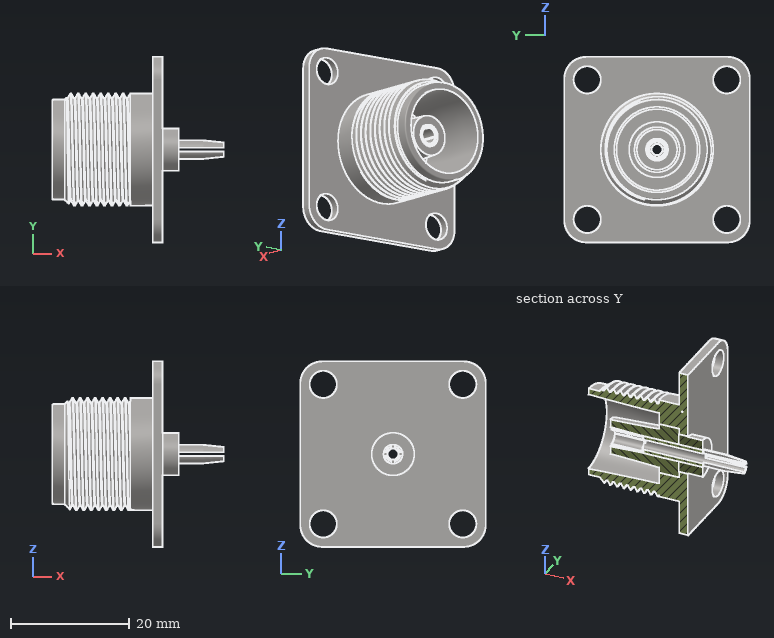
import cadquery as cq
import math


lead_radius = 8.5
lead_length = 2.1
mouth_fillet = 0.25
thread_radius = 19.05 / 2
thread_pitch = 1.27
thread_depth = 0.78
crest_width = 0.16
flank_half_angle = 30
crest_at_top = 3.46
collar_start = 13.25
flange_front = 17.02
flange_thickness = 1.7
flange_size = 31.5
flange_corner_radius = 3.8
mounting_hole_spacing = 23.65
mounting_hole_diameter = 4.57
bore_mouth_radius = 7.25
bore_floor_radius = 6.87
bore_floor = collar_start

nose_front = 4.15
nose_tip_radius = 3.41
nose_root_radius = 3.83
insulator_base_radius = 4.72
socket_mouth_radius = 1.88
rear_insulator_radius = 3.62
rear_insulator_end = 21.46

contact_front = 4.3
contact_radius = 1.62
contact_bore_radius = 0.92
socket_radius = 1.36
socket_floor = 10.0
socket_slot_width = 0.15
relief_hole_diameter = 0.6
taper_start = 25.6
tip_radius = 1.27
contact_end = 29.08
rear_slot_width = 0.6

thread_root_radius = thread_radius - thread_depth
flange_back = flange_front + flange_thickness


def revolve_about_x(points):
    """Solid of revolution about X from (x, radius) points."""
    return cq.Workplane("XY").polyline(points).close().revolve(360, (0, 0, 0), (1, 0, 0))


def make_thread():
    """Right-handed helical ridge, bevelled at the lead and cut square at the collar."""
    root_overlap = 0.1
    base_radius = thread_root_radius - root_overlap
    ridge_height = thread_radius - base_radius
    base_half = crest_width / 2 + ridge_height * math.tan(math.radians(flank_half_angle))

    start = crest_at_top - 2 * thread_pitch
    turns = math.ceil((collar_start - start) / thread_pitch) + 1
    path = cq.Wire.makeHelix(thread_pitch, turns * thread_pitch, base_radius)
    ridge = (
        cq.Workplane("XZ")
        .polyline([
            (base_radius, -base_half),
            (thread_radius, -crest_width / 2),
            (thread_radius, crest_width / 2),
            (base_radius, base_half),
        ])
        .close()
        .sweep(cq.Workplane(path), isFrenet=True)
        .rotate((0, 0, 0), (0, 1, 0), 90)
        .rotate((0, 0, 0), (1, 0, 0), 180)
        .translate((start, 0, 0))
    )
    clearance = 0.5
    bevel = thread_radius + clearance - lead_radius
    envelope = revolve_about_x([
        (lead_length, 0),
        (lead_length, lead_radius),
        (lead_length + bevel, lead_radius + bevel),
        (collar_start, thread_radius + clearance),
        (collar_start, 0),
    ])
    return ridge.intersect(envelope)


def make_housing():
    root_bevel = thread_root_radius - lead_radius
    barrel = revolve_about_x([
        (0, 0),
        (0, lead_radius),
        (lead_length, lead_radius),
        (lead_length + root_bevel, thread_root_radius),
        (collar_start, thread_root_radius),
        (collar_start, thread_radius),
        (flange_front, thread_radius),
        (flange_front, 0),
    ]).faces("<X").edges().fillet(mouth_fillet)
    flange = (
        cq.Workplane("YZ", origin=(flange_front, 0, 0))
        .rect(flange_size, flange_size)
        .extrude(flange_thickness)
        .edges("|X")
        .fillet(flange_corner_radius)
        .faces("<X")
        .workplane(origin=(flange_front, 0, 0))
        .rect(mounting_hole_spacing, mounting_hole_spacing, forConstruction=True)
        .vertices()
        .hole(mounting_hole_diameter)
    )
    cavity = revolve_about_x([
        (0, 0),
        (0, bore_mouth_radius),
        (bore_floor, bore_floor_radius),
        (bore_floor, insulator_base_radius),
        (flange_front, insulator_base_radius),
        (flange_front, rear_insulator_radius),
        (flange_back, rear_insulator_radius),
        (flange_back, 0),
    ])
    return barrel.union(make_thread()).union(flange).cut(cavity)


def make_front_insulator():
    """Tapered nose on a round base, with a tapered clearance around the socket."""
    clearance_end = socket_floor + relief_hole_diameter / 2
    return revolve_about_x([
        (nose_front, socket_mouth_radius),
        (nose_front, nose_tip_radius),
        (bore_floor, nose_root_radius),
        (bore_floor, insulator_base_radius),
        (flange_front, insulator_base_radius),
        (flange_front, contact_radius),
        (clearance_end, contact_radius),
    ])


def make_rear_insulator():
    return revolve_about_x([
        (flange_front, contact_radius),
        (flange_front, rear_insulator_radius),
        (rear_insulator_end, rear_insulator_radius),
        (rear_insulator_end, contact_radius),
    ])


def make_contact():
    """Tube with keyhole cross slots in the front socket and plain ones in the tapered rear end."""
    contact = revolve_about_x([
        (contact_front, socket_radius),
        (contact_front, contact_radius),
        (taper_start, contact_radius),
        (contact_end, tip_radius),
        (contact_end, contact_bore_radius),
        (socket_floor, contact_bore_radius),
        (socket_floor, socket_radius),
    ])
    cut_depth = 2 * contact_radius

    def slot(start, end, width):
        box = cq.Workplane("XY").box(end - start, width, 2 * cut_depth, centered=(False, True, True))
        return box.translate((start, 0, 0))

    socket_slot = slot(contact_front, socket_floor, socket_slot_width)
    relief_hole = (
        cq.Workplane("XY", origin=(socket_floor, 0, 0))
        .circle(relief_hole_diameter / 2)
        .extrude(cut_depth, both=True)
    )
    rear_slot = slot(rear_insulator_end, contact_end, rear_slot_width)
    for angle in (0, 90):
        for cutter in (socket_slot, relief_hole, rear_slot):
            contact = contact.cut(cutter.rotate((0, 0, 0), (1, 0, 0), angle))
    return contact


housing = make_housing()
front_insulator = make_front_insulator()
rear_insulator = make_rear_insulator()
contact = make_contact()

result = cq.Compound.makeCompound([
    *housing.solids().vals(),
    *front_insulator.solids().vals(),
    *rear_insulator.solids().vals(),
    *contact.solids().vals(),
])